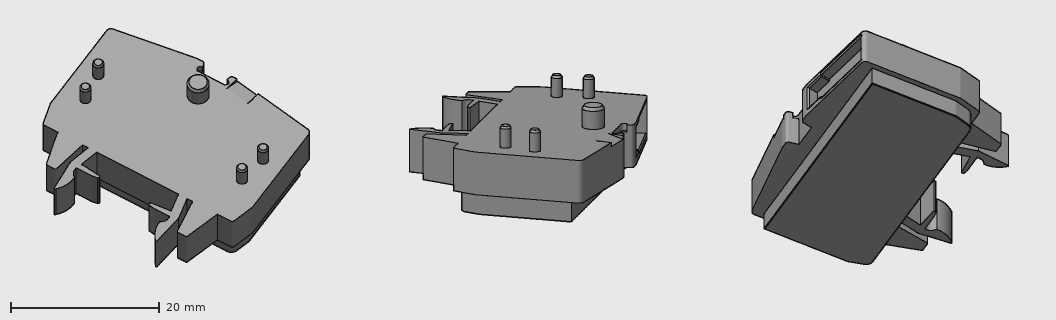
import cadquery as cq
import math

body_width = 32.2
body_height = 20.33
body_thickness = 6.0
base_thickness = 3.0
pin_length = 3.0
half_width = body_width / 2

slope_angle = 9.0
ridge_x = 3.34
shoulder_radius = 0.45
eave_radius = 0.7
waist_y = 3.5
foot_x = 15.13
foot_radius = 0.3
eave_y = body_height - (half_width - ridge_x) * math.tan(math.radians(slope_angle))

notch_floor_y = 18.62
notch_floor_half = 1.75
notch_wall_angle = 12.0
notch_top_half = notch_floor_half + (body_height - notch_floor_y) * math.tan(math.radians(notch_wall_angle))
recess_radius = 0.43
recess_x = 2.03
recess_depth = 1.0

leg_root_outer = 12.72
leg_root_inner = 8.76
leg_tip_outer = 11.2
leg_tip_inner = 9.67
leg_length = 5.38
leg_radius = 0.18

overall_height = 28.5
clip_tip_y = body_height - overall_height
clip_root_inner = 6.5
clip_root_outer = 7.88
clip_bend = (8.65, -3.25)
finger_root_x = 7.17
finger_upper_y = -2.78
finger_tip_x = 4.0
finger_tip_y = -3.12
finger_lower_y = -3.66
throat_x = 7.47
throat_end_y = -4.2
hook_x = 6.82
hook_upper_y = -5.1
hook_lower_y = -5.55
clip_tip_x = 8.08
finger_nose = 0.13
finger_bevel_length = 0.95
right_clip_drop = 0.1

base_half_width = 15.37
base_top_y = 16.67
base_bottom_y = 0.83
base_waist_y = 3.8
base_corner_radius = 1.05
base_edge_chamfer = 0.1
taper_per_mm = (half_width - foot_x) / waist_y
base_foot_x = base_half_width - (base_waist_y - base_bottom_y) * taper_per_mm

large_pin_diameter = 3.0
large_pin_y = 15.3
large_pin_tip = (0.45, 0.27)
small_pin_diameter = 1.5
small_pin_tip = (0.33, 0.2)
small_pin_places = [(13.13, 10.9), (12.48, 6.6)]

wedge_offset = -0.28
wedge_length = 3.74
wedge_reach = 2.18
wedge_depth = 0.55

pocket_depth = 1.55
pocket_chamfer = 0.2
pocket_z = 3.17
wide_start = 3.2
wide_end = 12.3
wide_height = 4.6
narrow_start = 0.5
narrow_height = 3.9

overlap = 0.5


def body_plate():
    outline = [
        (foot_x, 0),
        (half_width, waist_y),
        (half_width, eave_y),
        (ridge_x, body_height),
        (notch_top_half, body_height),
        (notch_floor_half, notch_floor_y),
    ]
    mirrored = [(-x, y) for x, y in reversed(outline)]
    plate = cq.Workplane("XY").polyline(outline + mirrored).close().extrude(body_thickness)
    rounded_corners = [
        (foot_x, 0, foot_radius),
        (half_width, eave_y, eave_radius),
        (notch_top_half, body_height, shoulder_radius),
    ]
    for x, y, radius in rounded_corners:
        for side in (-1, 1):
            corner = cq.selectors.NearestToPointSelector((side * x, y, body_thickness / 2))
            plate = plate.edges("|Z").edges(corner).fillet(radius)
    return plate


def notch_recess(side):
    """Round-ended recess beside the notch floor, open to the top face and to the notch."""
    top = cq.Workplane("XY", origin=(0, 0, body_thickness))
    center_y = notch_floor_y + recess_radius
    inner_x = notch_floor_half - overlap
    round_end = top.center(side * recess_x, center_y).circle(recess_radius).extrude(-recess_depth)
    channel = (
        top.center(side * (recess_x + inner_x) / 2, center_y)
        .rect(recess_x - inner_x, 2 * recess_radius)
        .extrude(-recess_depth)
    )
    return round_end.union(channel)


def leg(side):
    outline = [
        (side * leg_root_outer, 0),
        (side * leg_root_outer, overlap),
        (side * leg_root_inner, overlap),
        (side * leg_root_inner, 0),
        (side * leg_tip_inner, -leg_length),
        (side * leg_tip_outer, -leg_length),
    ]
    solid = cq.Workplane("XY").polyline(outline).close().extrude(body_thickness)
    return solid.faces("<Y").edges("|Z").fillet(leg_radius)


def clip(side, drop):
    """Spring arm with an inward finger and a hooked, pointed tip."""
    def at(x, y):
        return (side * x, y)

    def lowered(x, y):
        return (side * x, y - drop)

    return (
        cq.Workplane("XY")
        .moveTo(*at(clip_root_inner, overlap))
        .lineTo(*at(clip_root_inner, 0))
        .lineTo(*lowered(finger_root_x, finger_upper_y))
        .lineTo(*lowered(finger_tip_x, finger_tip_y))
        .lineTo(*lowered(finger_tip_x, finger_lower_y + 2 * finger_nose))
        .lineTo(*lowered(finger_tip_x + finger_nose, finger_lower_y + finger_nose))
        .lineTo(*lowered(finger_tip_x + finger_bevel_length, finger_lower_y))
        .lineTo(*lowered(throat_x, finger_lower_y))
        .lineTo(*lowered(throat_x, throat_end_y))
        .threePointArc(
            lowered(throat_x - 0.05, throat_end_y - 0.25),
            lowered(throat_x - 0.17, throat_end_y - 0.48),
        )
        .lineTo(*lowered(hook_x, hook_upper_y))
        .lineTo(*lowered(hook_x, hook_lower_y))
        .threePointArc(at(hook_x + 0.36, hook_lower_y - 1.4), at(clip_tip_x - 0.15, clip_tip_y + 0.12))
        .threePointArc(at(clip_tip_x, clip_tip_y), at(clip_tip_x + 0.12, clip_tip_y + 0.15))
        .lineTo(*lowered(*clip_bend))
        .lineTo(*at(clip_root_outer, 0))
        .lineTo(*at(clip_root_outer, overlap))
        .close()
        .extrude(body_thickness)
    )


def base_plate():
    outline = [
        (base_foot_x, base_bottom_y),
        (base_half_width, base_waist_y),
        (base_half_width, base_top_y),
    ]
    mirrored = [(-x, y) for x, y in reversed(outline)]
    plate = cq.Workplane("XY").polyline(outline + mirrored).close().extrude(-base_thickness)
    plate = plate.faces("<Y").edges("|Z").fillet(base_corner_radius)
    for side in (-1, 1):
        waist_point = (side * base_half_width, base_waist_y, -base_thickness / 2)
        waist = cq.selectors.NearestToPointSelector(waist_point)
        plate = plate.edges("|Z").edges(waist).fillet(base_corner_radius)
    return plate.faces("<Z").edges().chamfer(base_edge_chamfer)


def pin(x, y, diameter, tip):
    tip_height, tip_reduction = tip
    radius = diameter / 2
    profile = [
        (0, -overlap),
        (radius, -overlap),
        (radius, pin_length - tip_height),
        (radius - tip_reduction, pin_length),
        (0, pin_length),
    ]
    solid = cq.Workplane("XZ").polyline(profile).close().revolve(360, (0, 0), (0, 1))
    return solid.translate((x, y, body_thickness))


def pry_wedge():
    """Triangular prism, deepest at the roof slope and running out to nothing inside the top face."""
    rise = wedge_depth / wedge_reach
    profile = [
        (-wedge_reach, 0),
        (overlap, 0),
        (overlap, -wedge_depth - rise * overlap),
    ]
    solid = cq.Workplane("YZ").polyline(profile).close().extrude(wedge_length)
    solid = solid.translate((wedge_offset, 0, 0)).rotate((0, 0, 0), (0, 0, 1), -slope_angle)
    return solid.translate((ridge_x, body_height, body_thickness))


def slope_cut(start, end, height, end_chamfer):
    """Rectangular pocket sunk from the plane Y = 0 toward -Y, with chamfered long sides of its mouth."""
    mouth = cq.Workplane("XZ").center(-(start + end) / 2, 0)
    length = end - start
    pocket = mouth.rect(length, height).extrude(pocket_depth)
    funnel = (
        mouth.rect(length + 2 * end_chamfer, height + 2 * pocket_chamfer)
        .workplane(offset=pocket_chamfer)
        .rect(length, height)
        .loft()
    )
    return pocket.union(funnel)


def marker_pocket():
    wide = slope_cut(wide_start, wide_end, wide_height, 0)
    narrow = slope_cut(narrow_start, wide_start + overlap, narrow_height, pocket_chamfer)
    solid = wide.union(narrow).rotate((0, 0, 0), (0, 0, 1), slope_angle)
    return solid.translate((-ridge_x, body_height, pocket_z))


result = body_plate()
for side in (-1, 1):
    result = result.cut(notch_recess(side)).union(leg(side))
result = result.union(clip(-1, 0)).union(clip(1, right_clip_drop))
result = result.cut(pry_wedge()).cut(marker_pocket())
result = result.union(base_plate())
result = result.union(pin(0, large_pin_y, large_pin_diameter, large_pin_tip))
for x, y in small_pin_places:
    for side in (-1, 1):
        result = result.union(pin(side * x, y, small_pin_diameter, small_pin_tip))